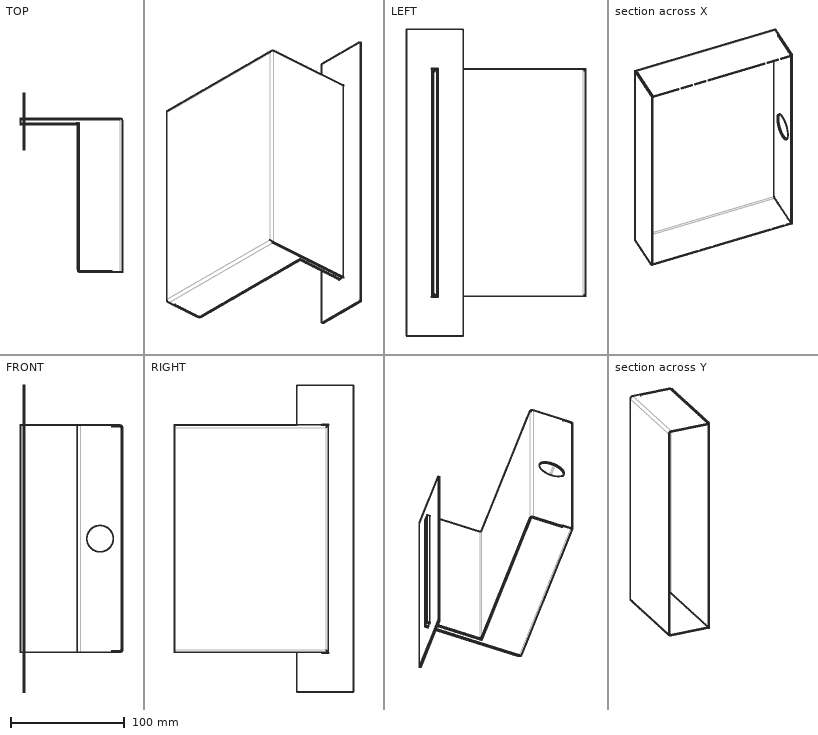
import cadquery as cq


PLATE_HEIGHT = 270.0
PLATE_WIDTH = 50.0
PLATE_THICKNESS = 1.5
PLATE_SETBACK = 2.5
PLATE_CORNER_RADIUS = 1.0
SLOT_CLEARANCE = 0.4

SHEET = 1.4
BEND_INNER_RADIUS = 1.0
BEND_OUTER_RADIUS = BEND_INNER_RADIUS + SHEET
BOX_HEIGHT = 199.8
BOX_RIGHT = 90.0
BOX_LEFT = 50.2
NECK_DEPTH = 5.7
OVERALL_DEPTH = 157.5
PLATE_BACK = (PLATE_WIDTH - NECK_DEPTH) / 2
BOX_FRONT = PLATE_BACK - OVERALL_DEPTH
HALF_HEIGHT = BOX_HEIGHT / 2

COVER_BENDS = ">X and (|Y or (|Z and >Y))"
SEAM_WIDTH = 0.14

TAB_START = 80.5
HOLE_RADIUS = 11.5
HOLE_X = (BOX_LEFT + BOX_RIGHT) / 2


def block(x_range, y_range, z_range):
    """Box between the given pairs of limits."""
    (x0, x1), (y0, y1), (z0, z1) = x_range, y_range, z_range
    return cq.Workplane("XY").box(x1 - x0, y1 - y0, z1 - z0, centered=False).translate((x0, y0, z0))


def make_plate():
    """Flat plate with a slot that the neck passes through."""
    x_range = (PLATE_SETBACK, PLATE_SETBACK + PLATE_THICKNESS)
    half_plate = PLATE_HEIGHT / 2
    half_slot = HALF_HEIGHT + SLOT_CLEARANCE
    body = block(x_range, (PLATE_BACK - PLATE_WIDTH, PLATE_BACK), (-half_plate, half_plate))
    body = body.edges("|X").fillet(PLATE_CORNER_RADIUS)
    return body.cut(block(x_range, (-NECK_DEPTH, 0), (-half_slot, half_slot)))


def make_front_sheet():
    """Z-bent sheet: neck wall, long left wall and front wall with a round hole."""
    right_end = BOX_RIGHT - SHEET
    neck_inner = -NECK_DEPTH + SHEET
    left_inner = BOX_LEFT + SHEET
    front_inner = BOX_FRONT + SHEET
    sheet = (
        cq.Workplane("XY", origin=(0, 0, -HALF_HEIGHT))
        .moveTo(0, -NECK_DEPTH)
        .lineTo(BOX_LEFT, -NECK_DEPTH)
        .lineTo(BOX_LEFT, BOX_FRONT)
        .lineTo(right_end, BOX_FRONT)
        .lineTo(right_end, front_inner)
        .lineTo(left_inner, front_inner)
        .lineTo(left_inner, neck_inner)
        .lineTo(0, neck_inner)
        .close()
        .extrude(BOX_HEIGHT)
    )
    for x, y, radius in (
        (BOX_LEFT, -NECK_DEPTH, BEND_INNER_RADIUS),
        (left_inner, neck_inner, BEND_OUTER_RADIUS),
        (left_inner, front_inner, BEND_INNER_RADIUS),
        (BOX_LEFT, BOX_FRONT, BEND_OUTER_RADIUS),
    ):
        sheet = sheet.edges(cq.selectors.NearestToPointSelector((x, y, 0))).fillet(radius)

    hole = (
        cq.Workplane("XZ", origin=(HOLE_X, front_inner, 0))
        .circle(HOLE_RADIUS)
        .extrude(SHEET)
    )
    sheet = sheet.cut(hole)

    for z_range in ((-HALF_HEIGHT, -HALF_HEIGHT + SHEET), (HALF_HEIGHT - SHEET, HALF_HEIGHT)):
        sheet = sheet.cut(block((TAB_START, right_end), (BOX_FRONT, front_inner), z_range))
    return sheet


def flange_block():
    """Solid L-shaped block that fits inside the front sheet, with a tab edge over its front wall."""
    neck_edge = -NECK_DEPTH + SHEET
    left_edge = BOX_LEFT + SHEET
    front_edge = BOX_FRONT + SHEET
    return (
        cq.Workplane("XY", origin=(0, 0, -HALF_HEIGHT))
        .moveTo(0, 0)
        .lineTo(BOX_RIGHT, 0)
        .lineTo(BOX_RIGHT, BOX_FRONT)
        .lineTo(TAB_START, BOX_FRONT)
        .lineTo(TAB_START, front_edge)
        .lineTo(left_edge, front_edge)
        .lineTo(left_edge, neck_edge)
        .lineTo(0, neck_edge)
        .close()
        .extrude(BOX_HEIGHT)
    )


def make_cover():
    """Back wall, right wall and the top and bottom flanges, with rounded bends."""
    inner_height = BOX_HEIGHT - 2 * SHEET
    cover = flange_block()
    cover = cover.edges(COVER_BENDS).fillet(BEND_OUTER_RADIUS)
    cavity = block(
        (0, BOX_RIGHT - SHEET),
        (BOX_FRONT, -SHEET),
        (-inner_height / 2, inner_height / 2),
    )
    cavity = cavity.edges(COVER_BENDS).fillet(BEND_INNER_RADIUS)
    seams = block(
        (0, BOX_RIGHT - BEND_OUTER_RADIUS),
        (-SHEET - SEAM_WIDTH, -SHEET),
        (-HALF_HEIGHT, HALF_HEIGHT),
    )
    return cover.cut(cavity).cut(seams)


plate = make_plate()
cover = make_cover()
front_sheet = make_front_sheet().cut(cover)

result = cq.Compound.makeCompound([plate.val(), front_sheet.val(), cover.val()])